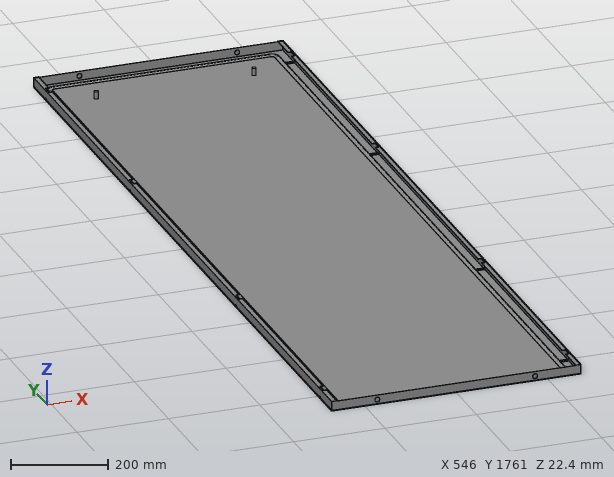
import cadquery as cq

LENGTH = 1761.0
WIDTH = 546.0
SHEET = 1.2
INNER_DEPTH = 20.0
WALL_HEIGHT = SHEET + INNER_DEPTH
HEIGHT = WALL_HEIGHT + SHEET
FLANGE_WIDTH = 11.5

GASKET_END_GAP = 16.7
GASKET_FLANGE_GAP = 9.0
GASKET_SIDE_GAP = FLANGE_WIDTH + GASKET_FLANGE_GAP
GASKET_WIDTH = 9.9
GASKET_CORNER_RADIUS = 15.0
GASKET_OUTER_HEIGHT = 2.1
GASKET_INNER_HEIGHT = 0.5

STATION_Y = (-810.0, -313.0, 313.0, 810.0)
LUG_THICKNESS = 5.0
LUG_HEIGHT = 4.0
NOTCH_LENGTH = 21.0
NOTCH_DEPTH = 7.0

STUD_X = 173.0
STUD_Y = 780.0
STUD_DIAMETER = 9.0
STUD_HEIGHT = 15.0
PLUG_DIAMETER = 10.0
PLUG_Z = WALL_HEIGHT / 2

SIGNS = (-1, 1)


def side_block(side, outset, depth, y, length, bottom, top):
    """Box running inward from a long side, starting at the given distance from its outer face."""
    middle_x = side * (WIDTH / 2 - outset - depth / 2)
    return (
        cq.Workplane("XY", origin=(middle_x, y, bottom))
        .rect(depth, length)
        .extrude(top - bottom)
    )


def make_open_tray():
    """Floor and four equal walls, without the flanges."""
    outside = cq.Workplane("XY").rect(WIDTH, LENGTH).extrude(WALL_HEIGHT)
    inside = (
        cq.Workplane("XY", origin=(0, 0, SHEET))
        .rect(WIDTH - 2 * SHEET, LENGTH - 2 * SHEET)
        .extrude(INNER_DEPTH)
    )
    return outside.cut(inside)


def make_flange(side):
    """Strip on top of a long wall, notched at each station along its inner edge."""
    flange = side_block(side, 0, FLANGE_WIDTH, 0, LENGTH, WALL_HEIGHT, HEIGHT)
    for y in STATION_Y:
        notch_start = FLANGE_WIDTH - NOTCH_DEPTH
        notch = side_block(side, notch_start, NOTCH_DEPTH, y, NOTCH_LENGTH, WALL_HEIGHT, HEIGHT)
        flange = flange.cut(notch)
    return flange


def make_lug(side, y):
    """Low bar across the floor from the outer wall to the gasket."""
    return side_block(side, 0, GASKET_SIDE_GAP, y, LUG_THICKNESS, 0, LUG_HEIGHT)


def make_plug(side, end):
    """Disc as thick as the sheet, set flush in an end wall."""
    wall_face = cq.Plane(
        origin=(side * STUD_X, end * LENGTH / 2, PLUG_Z),
        xDir=(1, 0, 0),
        normal=(0, -end, 0),
    )
    return cq.Workplane(wall_face).circle(PLUG_DIAMETER / 2).extrude(SHEET)


def make_tray(plugs):
    """Complete tray with a through hole for each plug."""
    tray = make_open_tray()
    for side in SIGNS:
        tray = tray.union(make_flange(side))
        for y in STATION_Y:
            tray = tray.union(make_lug(side, y))
    for plug in plugs:
        tray = tray.cut(plug)
    return tray.solids()


def make_gasket():
    """Sweep the sloped section around the rounded outer outline of the gasket."""
    outer_width = WIDTH - 2 * GASKET_SIDE_GAP
    outer_length = LENGTH - 2 * GASKET_END_GAP
    blank = (
        cq.Workplane("XY", origin=(0, 0, SHEET))
        .rect(outer_width, outer_length)
        .extrude(GASKET_OUTER_HEIGHT)
        .edges("|Z")
        .fillet(GASKET_CORNER_RADIUS)
    )
    outline = cq.Workplane(blank.faces("<Z").wires().val())
    section_plane = cq.Plane(
        origin=(-outer_width / 2, 0, SHEET),
        xDir=(-1, 0, 0),
        normal=(0, 1, 0),
    )
    section = (
        cq.Workplane(section_plane)
        .lineTo(-GASKET_WIDTH, 0)
        .lineTo(-GASKET_WIDTH, GASKET_INNER_HEIGHT)
        .lineTo(0, GASKET_OUTER_HEIGHT)
        .close()
    )
    return section.sweep(outline)


def make_stud(side):
    """Round stud standing on the floor near the +Y end."""
    floor_point = (side * STUD_X, STUD_Y, SHEET)
    return cq.Workplane("XY", origin=floor_point).circle(STUD_DIAMETER / 2).extrude(STUD_HEIGHT)


plugs = [make_plug(side, end) for side in SIGNS for end in SIGNS]
tray = make_tray(plugs)
gasket = make_gasket()
studs = [make_stud(side) for side in SIGNS]

bodies = [tray, gasket, *studs, *plugs]
result = cq.Compound.makeCompound([body.val() for body in bodies])